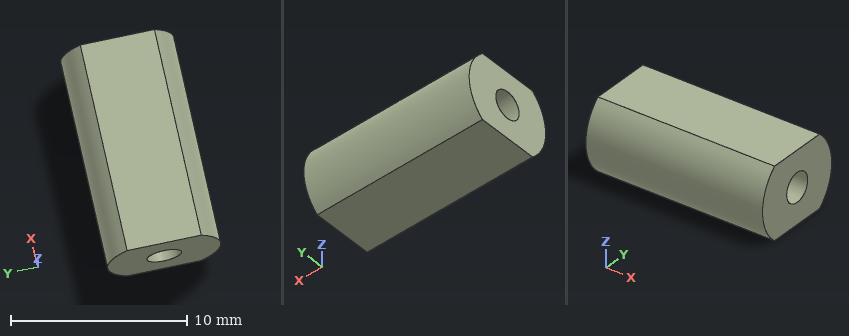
import cadquery as cq

length = 12.5
body_diameter = 6.6
across_flats = 5.0
bore_diameter = 2.0


def make_body():
    """Round bar along X, cut down to two flats facing +Z and -Z."""
    bar = cq.Workplane("YZ").circle(body_diameter / 2).extrude(length / 2, both=True)
    flats_envelope = cq.Workplane("XY").box(length, body_diameter, across_flats)
    return bar.intersect(flats_envelope)


def make_bore():
    """Axial hole running the full length of the bar."""
    return cq.Workplane("YZ").circle(bore_diameter / 2).extrude(length / 2, both=True)


result = make_body().cut(make_bore())